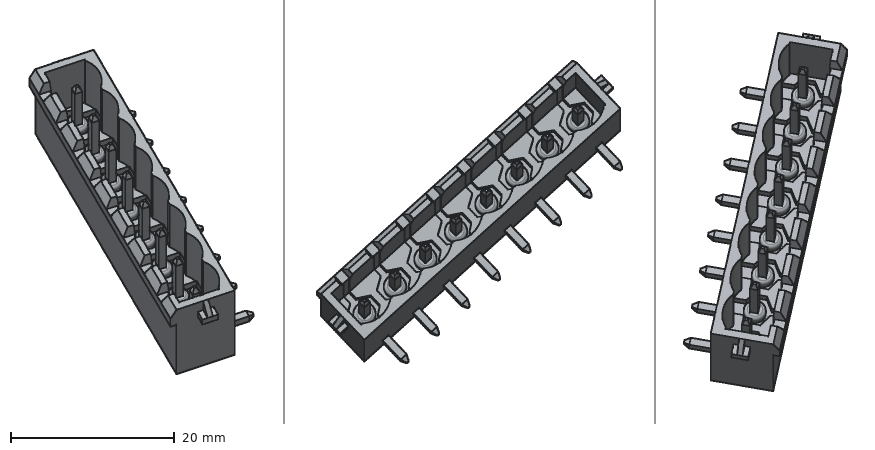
import cadquery as cq

pin_count = 8
pitch = 5.08
pin_positions = [(index - (pin_count - 1) / 2) * pitch for index in range(pin_count)]

end_wall = 1.0
cavity_length = pin_count * pitch
housing_length = cavity_length + 2 * end_wall
housing_depth = 7.8
housing_height = 12.0

lip_reach = 0.8
lip_height = 2.8
lip_chamfer_height = 1.3

front_wall = 0.8
cavity_front_y = front_wall - housing_depth
cavity_floor_z = 4.0
rib_y = -1.65
bay_crown_y = -0.83
bay_width = 4.6

recess_floor_z = 3.0
back_slot_width = 2.1
recess_width = 4.1
front_slot_width = 0.96
recess_back_y = -2.55
recess_wide_back_y = -3.25
recess_wide_front_y = -4.9
recess_narrow_front_y = -5.85
recess_front_y = -7.13

notch_top_width = 2.0
notch_floor_width = 1.2
notch_floor_z = housing_height - lip_chamfer_height

tab_reach = 1.4
tab_width = 2.1
tab_thickness = 0.9
tab_drop = 1.7
tab_rib_width = 0.7
tab_y = -housing_depth / 2

boss_diameter = 2.75
boss_top_diameter = 1.9
boss_edge_radius = (boss_diameter - boss_top_diameter) / 2
boss_height = 1.0

pin_size = 1.0
pin_y = -3.8
pin_top_z = 10.7
pin_leg_z = 2.0
pin_leg_reach = 4.0
pin_tip_length = 0.75
pin_tip_size = 0.35


def make_shell():
    """Housing block with the chamfered lip on its front."""
    lip_y = -housing_depth - lip_reach
    profile = [
        (0, 0),
        (0, housing_height),
        (-housing_depth, housing_height),
        (lip_y, housing_height - lip_chamfer_height),
        (lip_y, housing_height - lip_height),
        (-housing_depth, housing_height - lip_height),
        (-housing_depth, 0),
    ]
    return cq.Workplane("YZ").polyline(profile).close().extrude(housing_length / 2, both=True)


def make_cavity():
    """Open space above the cavity floor, its back wall scalloped around each pin."""
    half_length = cavity_length / 2
    outline = (
        cq.Workplane("XY", origin=(0, 0, cavity_floor_z))
        .moveTo(-half_length, cavity_front_y)
        .lineTo(-half_length, rib_y)
    )
    for x in pin_positions:
        outline = outline.lineTo(x - bay_width / 2, rib_y)
        outline = outline.threePointArc((x, bay_crown_y), (x + bay_width / 2, rib_y))
    outline = outline.lineTo(half_length, rib_y).lineTo(half_length, cavity_front_y).close()
    return outline.extrude(housing_height - cavity_floor_z)


def make_recess(x):
    """Recess in the cavity floor: back slot, wide middle and narrow front slot."""
    right_side = [
        (back_slot_width / 2, bay_crown_y),
        (back_slot_width / 2, recess_back_y),
        (recess_width / 2, recess_wide_back_y),
        (recess_width / 2, recess_wide_front_y),
        (front_slot_width / 2, recess_narrow_front_y),
        (front_slot_width / 2, recess_front_y),
    ]
    left_side = [(-offset, y) for offset, y in reversed(right_side)]
    outline = cq.Workplane("XY", origin=(x, 0, recess_floor_z)).polyline(right_side + left_side).close()
    return outline.extrude(cavity_floor_z - recess_floor_z)


def make_front_slot(x):
    """Narrow groove up the inside of the front wall, above the front slot of the recess."""
    return cq.Workplane("XY").box(
        front_slot_width,
        cavity_front_y - recess_front_y,
        housing_height - recess_floor_z,
        centered=(True, False, False),
    ).translate((x, recess_front_y, recess_floor_z))


def make_notch(x):
    """Notch through the front wall and lip, narrower at its floor."""
    profile = [
        (-notch_top_width / 2, housing_height),
        (notch_top_width / 2, housing_height),
        (notch_floor_width / 2, notch_floor_z),
        (-notch_floor_width / 2, notch_floor_z),
    ]
    outline = cq.Workplane("XZ", origin=(x, cavity_front_y, 0)).polyline(profile).close()
    return outline.extrude(front_wall + lip_reach)


def make_boss(x):
    """Round boss with a rounded top edge on the recess floor."""
    boss = cq.Workplane("XY", origin=(x, pin_y, recess_floor_z))
    boss = boss.circle(boss_diameter / 2).extrude(boss_height)
    return boss.faces(">Z").edges().fillet(boss_edge_radius)


def make_end_tab():
    """Tab on the +X end with the rib that slopes up to the top edge."""
    end_x = housing_length / 2
    tab_top_z = housing_height - tab_drop
    tab = cq.Workplane("XY").box(
        tab_reach, tab_width, tab_thickness, centered=(False, True, False)
    ).translate((end_x, tab_y, tab_top_z - tab_thickness))
    rib_profile = [
        (end_x, tab_top_z),
        (end_x + tab_reach, tab_top_z),
        (end_x, housing_height),
    ]
    rib = cq.Workplane("XZ", origin=(0, tab_y, 0)).polyline(rib_profile).close()
    return tab.union(rib.extrude(tab_rib_width / 2, both=True))


def make_tip(plane):
    """Square pin end, tapering to a small flat."""
    tip = cq.Workplane(plane).rect(pin_size, pin_size).workplane(offset=pin_tip_length)
    return tip.rect(pin_tip_size, pin_tip_size).loft(ruled=True)


def make_pin(x):
    """Square pin: upright contact bent into a leg that leaves through the back face."""
    bend_z = pin_leg_z - pin_size / 2
    upright_top_z = pin_top_z - pin_tip_length
    upright = cq.Workplane("XY", origin=(x, pin_y, bend_z)).rect(pin_size, pin_size)
    upright = upright.extrude(upright_top_z - bend_z)
    leg_end_y = pin_leg_reach - pin_tip_length
    leg = cq.Workplane(cq.Plane((x, pin_y, pin_leg_z), xDir=(1, 0, 0), normal=(0, 1, 0)))
    leg = leg.rect(pin_size, pin_size).extrude(leg_end_y - pin_y)
    contact_tip = make_tip(cq.Plane((x, pin_y, upright_top_z)))
    leg_tip = make_tip(cq.Plane((x, leg_end_y, pin_leg_z), xDir=(1, 0, 0), normal=(0, 1, 0)))
    return upright.union(leg).union(contact_tip).union(leg_tip)


pins = [make_pin(x) for x in pin_positions]

end_tab = make_end_tab()
housing = make_shell().union(end_tab).union(end_tab.mirror("YZ")).cut(make_cavity())
for x, pin in zip(pin_positions, pins):
    housing = housing.cut(make_recess(x)).cut(make_front_slot(x)).cut(make_notch(x))
    housing = housing.union(make_boss(x)).cut(pin)

result = cq.Compound.makeCompound([housing.solids().val(), *[pin.solids().val() for pin in pins]])